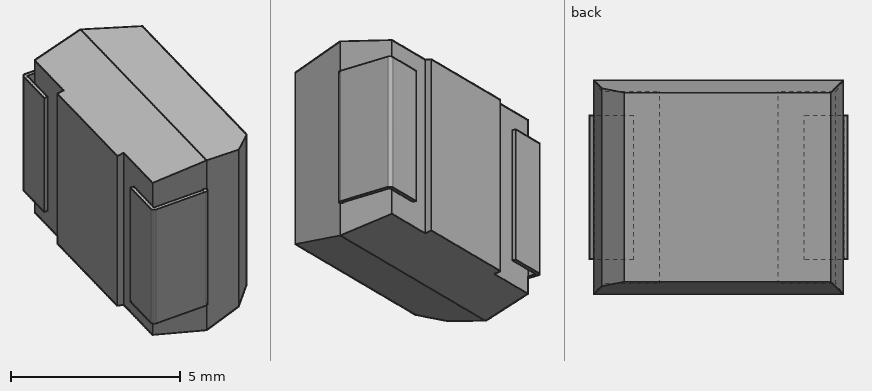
import cadquery as cq
import math

overall_length = 7.6
case_length = 7.34
case_height = 6.3
upper_depth = 1.89
lower_depth = 1.915
draft_angle = 11.0
lower_end_draft_angle = 7.8

pad_length = 3.495
pad_step = 0.21
bevel_size = 0.65

lead_thickness = 0.115
lead_width = 4.225
lead_foot_length = 1.29
bend_radius = 0.1

draft_slope = math.tan(math.radians(draft_angle))
lower_end_slope = math.tan(math.radians(lower_end_draft_angle))
half_length = case_length / 2


def tapered_half(depth, end_slope, direction):
    """Case half narrowing from Y = 0 to the given depth; direction is +1 or -1 along Y."""
    end_y = direction * depth
    end_half_length = half_length - depth * end_slope
    length_profile = (
        cq.Workplane("XY")
        .polyline([(-half_length, 0), (half_length, 0), (end_half_length, end_y), (-end_half_length, end_y)])
        .close()
        .extrude(case_height / 2, both=True)
    )
    half_height = case_height / 2
    end_half_height = half_height - depth * draft_slope
    height_profile = (
        cq.Workplane("YZ")
        .polyline([(0, -half_height), (0, half_height), (end_y, end_half_height), (end_y, -end_half_height)])
        .close()
        .extrude(half_length, both=True)
    )
    return length_profile.intersect(height_profile)


def make_upper_case():
    """Upper half with a bevel along its outer +X edge."""
    bevel_y = upper_depth - bevel_size
    bevel_x = half_length - bevel_y * draft_slope
    bevel_waste = (
        cq.Workplane("XY")
        .polyline([(bevel_x, bevel_y), (bevel_x, upper_depth), (bevel_x - bevel_size, upper_depth)])
        .close()
        .extrude(case_height / 2, both=True)
    )
    return tapered_half(upper_depth, draft_slope, 1).cut(bevel_waste)


def make_lower_case():
    """Lower half with a ledge beside each end of the raised mounting pad."""
    case = tapered_half(lower_depth, lower_end_slope, -1)
    ledge_length = (case_length - pad_length) / 2
    ledge_center_x = (case_length + pad_length) / 4
    for side in (-1, 1):
        ledge = cq.Workplane("XY").box(ledge_length, pad_step, case_height)
        case = case.cut(ledge.translate((side * ledge_center_x, pad_step / 2 - lower_depth, 0)))
    return case


def make_lead(side):
    """Bent strip: a stub against the case end, an upright and a foot; side is +1 or -1 along X."""
    outer_x = overall_length / 2
    inner_x = outer_x - lead_thickness
    foot_x = outer_x - lead_foot_length
    stub_end_x = half_length - lead_thickness * lower_end_slope
    outline = [
        (half_length, 0),
        (outer_x, 0),
        (outer_x, -lower_depth),
        (foot_x, -lower_depth),
        (foot_x, lead_thickness - lower_depth),
        (inner_x, lead_thickness - lower_depth),
        (inner_x, -lead_thickness),
        (stub_end_x, -lead_thickness),
    ]
    return (
        cq.Workplane("XY")
        .polyline([(side * x, y) for x, y in outline])
        .close()
        .extrude(lead_width / 2, both=True)
        .edges(">X" if side > 0 else "<X")
        .edges("|Z")
        .fillet(bend_radius)
    )


upper_case = make_upper_case()
lower_case = make_lower_case()
leads = [make_lead(side) for side in (-1, 1)]

result = cq.Compound.makeCompound(
    [upper_case.val(), lower_case.val(), *[lead.val() for lead in leads]]
)